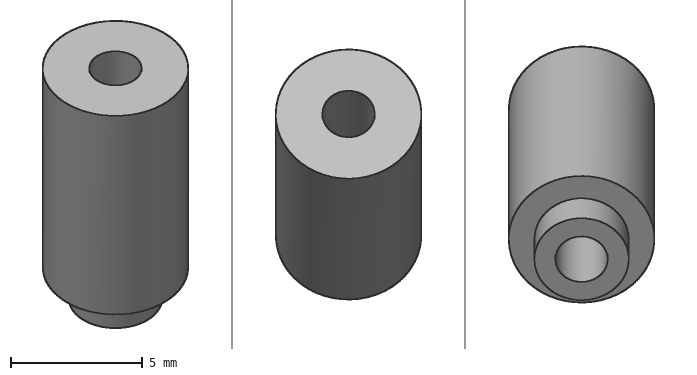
import cadquery as cq

total_height = 11.53
body_diameter = 5.56
spigot_diameter = 3.6
bore_diameter = 2.0
body_height = 10.0
spigot_height = total_height - body_height

spigot = cq.Workplane("XY").circle(spigot_diameter / 2).extrude(spigot_height)

body = (
    cq.Workplane("XY", origin=(0, 0, spigot_height))
    .circle(body_diameter / 2)
    .extrude(body_height)
)

bore = cq.Workplane("XY").circle(bore_diameter / 2).extrude(total_height)

result = spigot.union(body).cut(bore)